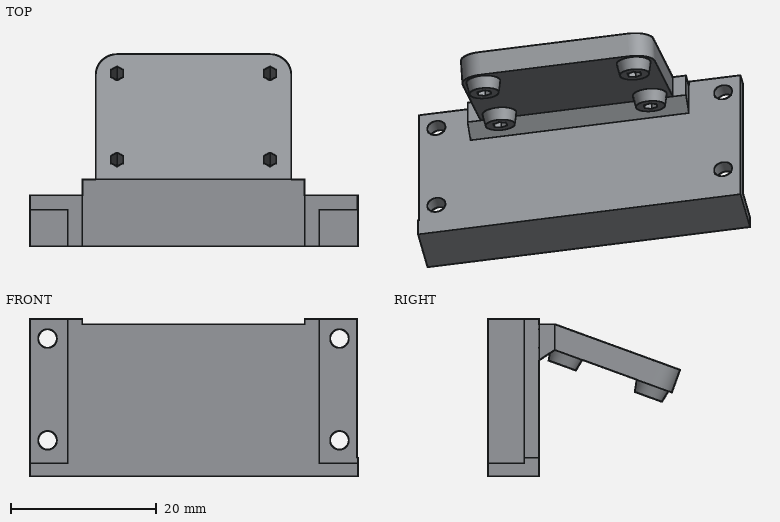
import cadquery as cq
import math

block_width = 44.85
block_depth = 7.0
block_height = 21.6
base_overhang = 0.15
base_overhang_height = 2.55

ear_width = 5.18
ear_thickness = 2.02
base_thickness = 1.8
screw_hole_diameter = 2.5
screw_hole_inset = 2.45
screw_hole_heights = (4.95, 18.9)

neck_width = 30.45
neck_drop = 0.7
neck_back = 9.2
neck_root_height = 15.9

plate_width = 26.8
plate_slope = 20.0
plate_thickness = 3.35
plate_back = 26.35
plate_corner_radius = 3.0

boss_height = 1.65
boss_root_diameter = 4.7
boss_tip_diameter = 4.0
boss_pitch_x = 20.95
boss_pitch_slope = 12.55
boss_back_inset = 2.85
hexagon_corner_diameter = 2.02

neck_top = block_height - neck_drop
slope_angle = math.radians(plate_slope)
plate_length = (plate_back - neck_back) / math.cos(slope_angle)
neck_end_height = neck_top - plate_thickness / math.cos(slope_angle)

plate_plane = cq.Plane(
    origin=(0, neck_back, neck_top),
    xDir=(1, 0, 0),
    normal=(0, math.sin(slope_angle), math.cos(slope_angle)),
)
boss_rows = (
    plate_length - boss_back_inset,
    plate_length - boss_back_inset - boss_pitch_slope,
)
boss_centers = [(side * boss_pitch_x / 2, row) for side in (-1, 1) for row in boss_rows]


def make_block():
    block = cq.Workplane("XY").box(
        block_width, block_depth, block_height, centered=(True, False, False)
    )
    overhang = cq.Workplane("XY").box(
        base_overhang, block_depth, base_overhang_height, centered=False
    ).translate((block_width / 2, 0, 0))
    return block.union(overhang)


def cut_ears(block):
    pocket_depth = block_depth - ear_thickness
    pocket_width = ear_width + base_overhang
    pocket_center = block_width / 2 - ear_width + pocket_width / 2
    pockets = (
        cq.Workplane("XY", origin=(0, pocket_depth / 2, base_thickness))
        .pushPoints([(-pocket_center, 0), (pocket_center, 0)])
        .rect(pocket_width, pocket_depth)
        .extrude(block_height - base_thickness)
    )
    hole_x = block_width / 2 - screw_hole_inset
    holes = (
        cq.Workplane("XZ")
        .pushPoints([(side * hole_x, z) for side in (-1, 1) for z in screw_hole_heights])
        .circle(screw_hole_diameter / 2)
        .extrude(-block_depth)
    )
    return block.cut(pockets).cut(holes)


def cut_neck_channel(block):
    channel = cq.Workplane("XY", origin=(0, 0, neck_top)).box(
        neck_width, block_depth, neck_drop, centered=(True, False, False)
    )
    return block.cut(channel)


def make_neck():
    profile = [
        (block_depth, neck_top),
        (neck_back, neck_top),
        (neck_back, neck_end_height),
        (block_depth, neck_root_height),
    ]
    return cq.Workplane("YZ").polyline(profile).close().extrude(neck_width / 2, both=True)


def make_plate():
    root_overlap = plate_thickness * math.tan(slope_angle)
    blank_length = plate_length + root_overlap
    blank = (
        cq.Workplane(plate_plane)
        .center(0, plate_length - blank_length / 2)
        .rect(plate_width, blank_length)
        .extrude(-plate_thickness)
    )
    far_face = cq.selectors.DirectionMinMaxSelector(plate_plane.yDir, True)
    upright_edges = cq.selectors.ParallelDirSelector(plate_plane.zDir)
    rounded = blank.faces(far_face).edges(upright_edges).fillet(plate_corner_radius)
    trim = cq.Workplane("XY").box(
        plate_width, neck_back, block_height, centered=(True, False, False)
    )
    return rounded.cut(trim)


def make_bosses():
    taper = math.degrees(math.atan((boss_root_diameter - boss_tip_diameter) / 2 / boss_height))
    return (
        cq.Workplane(plate_plane)
        .workplane(offset=-plate_thickness)
        .pushPoints(boss_centers)
        .circle(boss_root_diameter / 2)
        .extrude(-boss_height, taper=taper)
    )


def make_hexagon_holes():
    hexagon = cq.Sketch().regularPolygon(hexagon_corner_diameter / 2, 6)
    return (
        cq.Workplane(plate_plane)
        .pushPoints(boss_centers)
        .placeSketch(hexagon)
        .extrude(-(plate_thickness + boss_height))
    )


housing = cut_neck_channel(cut_ears(make_block()))
sloping_arm = make_neck().union(make_plate()).union(make_bosses())
result = housing.union(sloping_arm).cut(make_hexagon_holes())